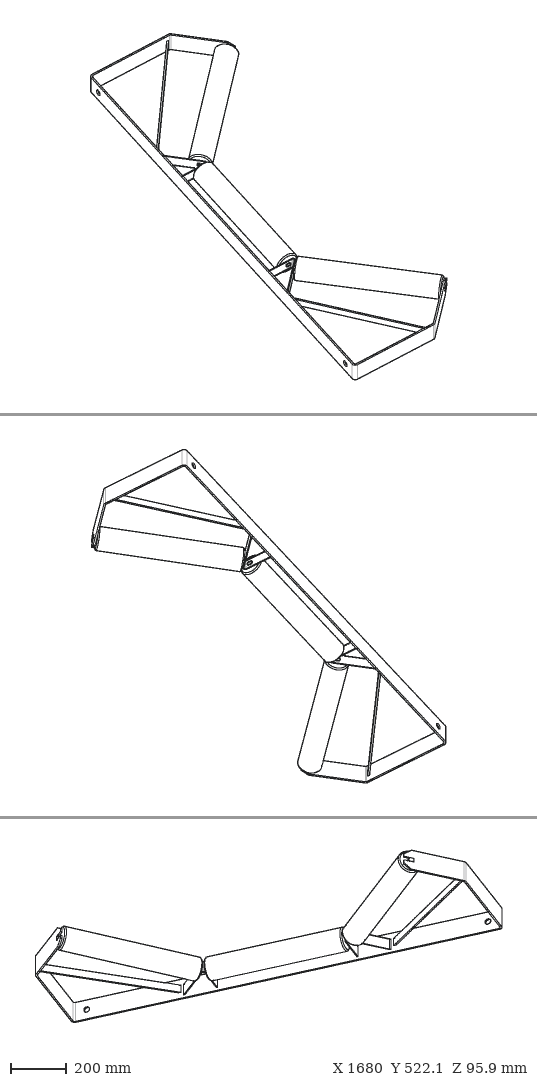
import cadquery as cq
import math


SIDES = (-1, 1)

FRAME_LENGTH = 1680.0
FRAME_DEPTH = 522.0
STRIP_WIDTH = 80.0
STRIP_THICKNESS = 7.0
BEND_RADIUS = 13.0
ARM_START_Y = 353.0
TIP_CHAMFER_WIDTH = 20.0
TIP_CHAMFER_LENGTH = 29.0
HOLE_DIAMETER = 22.0
HOLE_X = 783.0

ROLLER_DIAMETER = 89.0
ROLLER_LENGTH = 538.0
ROLLER_CHAMFER = 5.0
AXLE_DIAMETER = 20.0
AXLE_FLATS = 15.0
CENTRE_ROLLER_Y = 102.0
WING_ANGLE = 45.0
WING_X = 492.0
WING_Y = 304.0
INNER_DROP = 7.0

BRACKET_X = 272.0
BRACKET_TOP_Y = 126.0
BRACKET_FOOT_X = 412.0
BRACKET_BEND_RADIUS = 7.0
BRACKET_WIDTH = 44.0
BRACKET_THICKNESS = 4.0

STRUT_TOP_Y = 343.0
STRUT_FOOT_X = 415.0
STRUT_WIDTH = 30.0

HALF_LENGTH = FRAME_LENGTH / 2
INNER_SIDE_X = HALF_LENGTH - STRIP_THICKNESS
WING_COS = math.cos(math.radians(WING_ANGLE))
WING_TAN = math.tan(math.radians(WING_ANGLE))
ARM_TIP_X = HALF_LENGTH - (FRAME_DEPTH - ARM_START_Y) * WING_TAN
WING_TILT = math.degrees(math.asin(INNER_DROP / ROLLER_LENGTH))

CENTRE_REACH = BRACKET_X + BRACKET_THICKNESS
WING_OUTER_REACH = (HALF_LENGTH + ARM_START_Y - WING_X - WING_Y) * WING_COS
WING_INNER_REACH = (WING_X + WING_Y - BRACKET_FOOT_X) * WING_COS + BRACKET_THICKNESS

CENTRE_PLACE = cq.Location(cq.Vector(0, CENTRE_ROLLER_Y, -INNER_DROP))


def wing_place(side):
    """Location of a wing roller: its local X runs outward along the axle and rises slightly."""
    heading = WING_ANGLE if side > 0 else 180 - WING_ANGLE
    middle = cq.Location(cq.Vector(side * WING_X, WING_Y, -INNER_DROP / 2))
    turn = cq.Location(cq.Vector(), cq.Vector(0, 0, 1), heading)
    tilt = cq.Location(cq.Vector(), cq.Vector(0, 1, 0), -WING_TILT)
    return middle * turn * tilt


def moved(body, place):
    return cq.Workplane(body.val().moved(place))


def extrude_strip(points, width=STRIP_WIDTH):
    """Prism over a closed outline in X and Y, centred on Z = 0."""
    return cq.Workplane("XY").polyline(points).close().extrude(width / 2, both=True)


def make_axle(inner_reach, outer_reach):
    """Round axle along local X with two flats."""
    length = inner_reach + outer_reach
    axle = cq.Workplane("YZ", origin=(-inner_reach, 0, 0)).circle(AXLE_DIAMETER / 2).extrude(length)
    return axle.intersect(cq.Workplane("XY").box(2 * length, AXLE_DIAMETER, AXLE_FLATS))


def make_roller(inner_reach, outer_reach):
    drum = (
        cq.Workplane("YZ", origin=(-ROLLER_LENGTH / 2, 0, 0))
        .circle(ROLLER_DIAMETER / 2)
        .extrude(ROLLER_LENGTH)
        .edges()
        .chamfer(ROLLER_CHAMFER)
    )
    return drum.union(make_axle(inner_reach, outer_reach))


def tip_waste(side):
    """Material beyond the chamfered tip of an arm; local X runs along the arm, local Y along Z."""
    excess = 2 * TIP_CHAMFER_LENGTH
    edge = STRIP_WIDTH / 2
    shoulder = edge - TIP_CHAMFER_WIDTH
    plane = cq.Plane(
        origin=(side * ARM_TIP_X, FRAME_DEPTH, 0),
        xDir=(-side * WING_COS, WING_COS, 0),
        normal=(side * WING_COS, WING_COS, 0),
    )
    outline = [
        (-TIP_CHAMFER_LENGTH, edge),
        (0, shoulder),
        (0, -shoulder),
        (-TIP_CHAMFER_LENGTH, -edge),
        (excess, -edge),
        (excess, edge),
    ]
    return cq.Workplane(plane).polyline(outline).close().extrude(2 * STRIP_THICKNESS, both=True)


def axle_slot(side):
    """Slot from the axle seat out through the tip of an arm, as wide as the axle flats."""
    length = 2 * ROLLER_DIAMETER
    slot = cq.Workplane("XY").box(4 * STRIP_THICKNESS, length, AXLE_FLATS)
    seat_offset = side * (length - AXLE_DIAMETER) / 2
    return moved(slot.translate((WING_OUTER_REACH, seat_offset, 0)), wing_place(side))


def make_frame():
    """Strip bent into a base, two sides and two arms."""
    rough_rise = TIP_CHAMFER_LENGTH
    rough_tip = (ARM_TIP_X - rough_rise * WING_TAN, FRAME_DEPTH + rough_rise)
    right = [(HALF_LENGTH, 0), (HALF_LENGTH, ARM_START_Y), rough_tip]
    left = [(-x, y) for x, y in reversed(right)]
    frame = extrude_strip(right + left)
    frame = frame.edges("|Z and (not >Y)").fillet(BEND_RADIUS)
    frame = frame.faces(">Y or >Z or <Z").shell(-STRIP_THICKNESS)
    for side in SIDES:
        frame = frame.cut(tip_waste(side)).cut(axle_slot(side))
    holes = (
        cq.Workplane("XZ")
        .pushPoints([(side * HOLE_X, 0) for side in SIDES])
        .circle(HOLE_DIAMETER / 2)
        .extrude(-STRIP_THICKNESS)
    )
    return frame.cut(holes)


def make_bracket(side):
    """Bent strip with an upright leg for the centre roller and a sloped leg for the wing roller."""
    outline = [
        (BRACKET_X, STRIP_THICKNESS),
        (BRACKET_X, BRACKET_TOP_Y),
        (BRACKET_FOOT_X - BRACKET_TOP_Y * WING_TAN, BRACKET_TOP_Y),
        (BRACKET_FOOT_X - STRIP_THICKNESS * WING_TAN, STRIP_THICKNESS),
    ]
    bracket = extrude_strip([(side * x, y) for x, y in outline], BRACKET_WIDTH)
    bracket = bracket.translate((0, 0, -INNER_DROP))
    bracket = bracket.edges("|Z and >Y").fillet(BRACKET_BEND_RADIUS)
    bracket = bracket.faces("<Y or >Z or <Z").shell(-BRACKET_THICKNESS)
    centre_axle = moved(make_axle(CENTRE_REACH, CENTRE_REACH), CENTRE_PLACE)
    wing_axle = moved(make_axle(WING_INNER_REACH, 0), wing_place(side))
    return bracket.cut(centre_axle).cut(wing_axle)


def make_strut(side):
    """Flat diagonal bar from the side of the frame down to its base."""
    slope = math.atan2(STRUT_TOP_Y - STRIP_THICKNESS, INNER_SIDE_X - STRUT_FOOT_X)
    outline = [
        (INNER_SIDE_X, STRUT_TOP_Y),
        (INNER_SIDE_X, STRUT_TOP_Y - STRIP_THICKNESS / math.cos(slope)),
        (STRUT_FOOT_X + STRIP_THICKNESS / math.sin(slope), STRIP_THICKNESS),
        (STRUT_FOOT_X, STRIP_THICKNESS),
    ]
    return extrude_strip([(side * x, y) for x, y in outline], STRUT_WIDTH)


frame = make_frame()
centre_roller = moved(make_roller(CENTRE_REACH, CENTRE_REACH), CENTRE_PLACE)
wing_rollers = []
brackets = []
struts = []
for side in SIDES:
    wing_rollers.append(moved(make_roller(WING_INNER_REACH, WING_OUTER_REACH), wing_place(side)))
    brackets.append(make_bracket(side))
    struts.append(make_strut(side))

bodies = [frame, centre_roller, *wing_rollers, *brackets, *struts]
result = cq.Compound.makeCompound([body.val() for body in bodies])